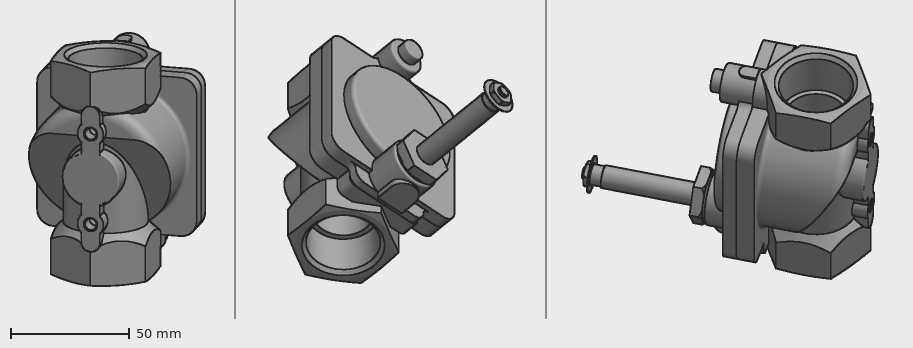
import cadquery as cq
import math


port_half_length = 48.0
port_flats = 41.6
port_face_radius = 20.3
port_face_drop = 0.9
neck_radius = 18.0
neck_end = 25.5
through_bore_radius = 13.0
thread_mouth_radius = 15.8
thread_root_radius = 15.2
thread_depth = 20.0
thread_chamfer = 1.8

bowl_radius = 30.7
bowl_bottom = -19.5
bowl_edge_radius = 5.3
bowl_root_radius = 1.9
slope_angle = 60.0
slope_top = 17.5

pad_face = -24.1
pad_disc_root = -12.6
pad_bar_root = -15.5
pad_disc_radius = 12.5
pad_disc_fillet = 0.8
pad_bar_width = 8.1
pad_bar_length = 64.3
pad_boss_radius = 5.7
pad_hole_pitch = 40.0
pad_hole_diameter = 5.0
pad_hole_depth = 7.5
pad_hole_chamfer = 0.5
drill_point_angle = 118.0

flange_size = 70.0
flange_corner = 7.0
flange_bottom = 17.8
joint = 25.5
flange_top = 31.5

cover_disc_radius = flange_size / 2 - flange_corner
cover_disc_top = 37.5
cover_disc_fillet = 1.9

pilot_z = 37.8
pilot_diameter = 17.0
pilot_radius = pilot_diameter / 2
pilot_top = 40.2
pilot_fillet = 1.0
pilot_web_half_width = 12.0
pilot_web_height = 1.9
plug_diameter = 10.0
plug_top = 45.1
plug_fillet = 0.8
pilot_tab_width = 5.9
pilot_tab_tip = 33.6
pilot_tab_face = 46.9

lug_half_width = 19.3
lug_bottom = -43.0
lug_corner = 3.3
cover_lug_bottom = -43.1
cover_lug_top = 29.4
cover_lug_fillet = 2.6

solenoid_z = -33.5
seat_radius = 12.0
seat_top = 46.0
seat_fillet = 1.1
seat_tab_half_width = 6.8
seat_tab_tip = 44.5
seat_tab_face = -46.9
gland_neck_diameter = 21.0
gland_bottom = 47.0
gland_top = 52.0
gland_flats = 22.0
gland_chamfer = 1.1
tube_diameter = 10.0
tube_top = 93.0
tube_end_diameter = 9.0
washer_diameter = 16.0
washer_bottom = 97.9
washer_top = 98.3
nut_top = 100.7
nut_flats = 10.0
nut_chamfer = 0.5
stud_diameter = 5.0
stud_top = 101.9
stud_chamfer = 0.3


def sketch_at(y, z=0):
    """Sketch plane facing -Y, so sketch coordinates are X and Z."""
    return cq.Workplane("XZ", origin=(0, y, z))


def cylinder(radius, y_start, y_end, z=0):
    """Cylinder parallel to the Y axis."""
    return sketch_at(y_start, z).circle(radius).extrude(y_start - y_end)


def rounded_boss(radius, y_start, y_end, fillet, z=0):
    """Cylinder parallel to the Y axis with its +Y rim rounded."""
    return cylinder(radius, y_start, y_end, z).faces(">Y").edges().fillet(fillet)


def hex_corner(flats):
    """Distance from the axis of a hexagon to its corners."""
    return flats / math.sqrt(3)


def hexagon(flats, length, start_radius, start_drop, end_radius=None, end_drop=0):
    """Hexagon along +Z with corners on the X axis; a cone trims its start, and its end if end_drop is set."""
    corner = hex_corner(flats)
    prism = cq.Workplane("XY").polygon(6, 2 * corner).extrude(length)
    profile = [(0, 0), (start_radius, 0), (corner, start_drop), (corner, length - end_drop)]
    if end_drop:
        profile.append((end_radius, length))
    profile.append((0, length))
    turned = cq.Workplane("XZ").polyline(profile).close().revolve(360, (0, 0, 0), (0, 1, 0))
    return prism.intersect(turned)


def turn_z_to_y(shape):
    return shape.rotate((0, 0, 0), (1, 0, 0), -90)


def flange(y_start, y_end):
    plate = sketch_at(y_start).rect(flange_size, flange_size).extrude(y_start - y_end)
    return plate.edges("|Y").fillet(flange_corner)


def lug(bottom, corner, y_start, y_end):
    """Rounded tongue hanging from the lower edge of a flange."""
    height = solenoid_z - bottom
    block = (
        sketch_at(y_start, z=solenoid_z - height / 2)
        .rect(2 * lug_half_width, height)
        .extrude(y_start - y_end)
    )
    return block.edges("|Y and <Z").fillet(corner)


def raised_tab(half_width, y_start, y_tip, z_start, z_face):
    """Flat tab along Y with a half-round tip, standing on the side of a boss."""
    y_centre = y_tip - half_width
    return (
        cq.Workplane("XY", origin=(0, 0, z_start))
        .moveTo(-half_width, y_start)
        .lineTo(half_width, y_start)
        .lineTo(half_width, y_centre)
        .threePointArc((0, y_tip), (-half_width, y_centre))
        .close()
        .extrude(z_face - z_start)
    )



def make_bowl():
    """Round bowl with its slanted side cut away, below the flange."""
    bowl = cylinder(bowl_radius, bowl_bottom, flange_bottom).faces("<Y").edges().fillet(bowl_edge_radius)
    reach = 2 * bowl_radius
    run = reach / math.tan(math.radians(slope_angle))
    wedge = (
        cq.Workplane("YZ", origin=(-reach, 0, 0))
        .moveTo(bowl_bottom, slope_top)
        .lineTo(bowl_bottom + run, slope_top - reach)
        .lineTo(bowl_bottom - run, slope_top - reach)
        .lineTo(bowl_bottom - run, slope_top + reach)
        .close()
        .extrude(2 * reach)
    )
    return bowl.cut(wedge)


def make_bowl_root():
    """Hollow-curved ring where the bowl meets the flange."""
    outer = bowl_radius + bowl_root_radius
    start = flange_bottom - bowl_root_radius
    bend = bowl_root_radius * math.sqrt(0.5)
    return (
        cq.Workplane("XY")
        .moveTo(0, start)
        .lineTo(bowl_radius, start)
        .threePointArc((outer - bend, start + bend), (outer, flange_bottom))
        .lineTo(0, flange_bottom)
        .close()
        .revolve(360, (0, 0, 0), (0, 1, 0))
    )


def make_port():
    """Upper hexagonal port with the cone that narrows to the neck."""
    port = hexagon(
        port_flats,
        port_half_length - neck_end,
        neck_radius,
        hex_corner(port_flats) - neck_radius,
        port_face_radius,
        port_face_drop,
    )
    return port.rotate((0, 0, 0), (0, 0, 1), 90).translate((0, 0, neck_end))


def make_port_thread():
    """Tapered bore of the upper port with its chamfered mouth."""
    floor = port_half_length - thread_depth
    return (
        cq.Workplane("XZ")
        .moveTo(0, floor)
        .lineTo(thread_root_radius, floor)
        .lineTo(thread_mouth_radius, port_half_length - thread_chamfer)
        .lineTo(thread_mouth_radius + thread_chamfer, port_half_length)
        .lineTo(0, port_half_length)
        .close()
        .revolve(360, (0, 0, 0), (0, 1, 0))
    )


def make_pad():
    disc = cylinder(pad_disc_radius, pad_face, pad_disc_root).faces("<Y").edges().fillet(pad_disc_fillet)
    bar = sketch_at(pad_face).slot2D(pad_bar_length, pad_bar_width, 90).extrude(pad_face - pad_bar_root)
    pad = disc.union(bar)
    for side in (-1, 1):
        pad = pad.union(cylinder(pad_boss_radius, pad_face, pad_bar_root, z=side * pad_hole_pitch / 2))
    return pad


def make_pad_hole():
    """Blind hole with a chamfered mouth and a drill point, turned about the Y axis."""
    radius = pad_hole_diameter / 2
    floor = pad_face + pad_hole_depth
    point = radius / math.tan(math.radians(drill_point_angle / 2))
    return (
        cq.Workplane("XY")
        .moveTo(0, pad_face)
        .lineTo(radius + pad_hole_chamfer, pad_face)
        .lineTo(radius, pad_face + pad_hole_chamfer)
        .lineTo(radius, floor)
        .lineTo(0, floor + point)
        .close()
        .revolve(360, (0, 0, 0), (0, 1, 0))
    )


def make_housing_pilot():
    """Lower part of the pilot boss: a half round on straight sides, running into the port."""
    height = pilot_z - neck_end
    sides = (
        sketch_at(flange_bottom, z=neck_end + height / 2)
        .rect(2 * pilot_radius, height)
        .extrude(flange_bottom - joint)
    )
    return sides.union(cylinder(pilot_radius, flange_bottom, joint, z=pilot_z))


def make_housing():
    solid = make_bowl().union(make_bowl_root()).union(flange(flange_bottom, joint))
    neck = cq.Workplane("XY").circle(neck_radius).extrude(neck_end, both=True)
    solid = solid.union(neck)
    port = make_port()
    solid = solid.union(port).union(port.mirror("XY"))
    solid = solid.union(make_pad()).union(make_housing_pilot())
    solid = solid.union(lug(lug_bottom, lug_corner, flange_bottom, joint))

    thread = make_port_thread()
    solid = solid.cut(thread).cut(thread.mirror("XY"))
    bore = cq.Workplane("XY").circle(through_bore_radius).extrude(port_half_length, both=True)
    solid = solid.cut(bore)
    for side in (-1, 1):
        solid = solid.cut(make_pad_hole().translate((0, 0, side * pad_hole_pitch / 2)))
    return solid



def make_pilot_web():
    """Hollow-curved webs that lead from the flange edge into both sides of the pilot boss."""
    edge = flange_size / 2
    top = edge + pilot_web_height
    boss_half_width = math.sqrt(pilot_radius**2 - (pilot_z - top) ** 2)
    run = pilot_web_half_width - boss_half_width
    curve_radius = (run**2 + pilot_web_height**2) / (2 * pilot_web_height)
    half_turn = math.asin(run / curve_radius) / 2
    mid_x = pilot_web_half_width - curve_radius * math.sin(half_turn)
    mid_z = edge + curve_radius * (1 - math.cos(half_turn))
    return (
        sketch_at(joint)
        .moveTo(-pilot_web_half_width, edge)
        .threePointArc((-mid_x, mid_z), (-boss_half_width, top))
        .lineTo(boss_half_width, top)
        .threePointArc((mid_x, mid_z), (pilot_web_half_width, edge))
        .close()
        .extrude(joint - flange_top)
    )


def make_cover_pilot():
    boss = rounded_boss(pilot_radius, joint, pilot_top, pilot_fillet, z=pilot_z)
    plug = rounded_boss(plug_diameter / 2, pilot_top, plug_top, plug_fillet, z=pilot_z)
    tab = raised_tab(pilot_tab_width / 2, joint, pilot_tab_tip, pilot_z, pilot_tab_face)
    return boss.union(plug).union(tab).union(make_pilot_web())


def make_cover_lug():
    """Lug whose sides blend into the flange edge through hollow curves."""
    edge = -flange_size / 2
    blend_end = edge - cover_lug_fillet
    bend = cover_lug_fillet * math.sqrt(0.5)
    solid = lug(cover_lug_bottom, blend_end - cover_lug_bottom, joint, cover_lug_top)
    blend_x = lug_half_width + cover_lug_fillet
    blend = (
        sketch_at(joint)
        .moveTo(-blend_x, edge)
        .threePointArc((-blend_x + bend, blend_end + bend), (-lug_half_width, blend_end))
        .lineTo(lug_half_width, blend_end)
        .threePointArc((blend_x - bend, blend_end + bend), (blend_x, edge))
        .close()
        .extrude(joint - cover_lug_top)
    )
    return solid.union(blend)


def make_solenoid_seat():
    seat = rounded_boss(seat_radius, cover_lug_top, seat_top, seat_fillet, z=solenoid_z)
    tab = raised_tab(seat_tab_half_width, cover_lug_top, seat_tab_tip, solenoid_z, seat_tab_face)
    return seat.union(tab)


def make_armature_tube():
    """Gland nut, stepped tube, washer and end nut, all on the solenoid axis."""
    tube = cylinder(gland_neck_diameter / 2, seat_top, gland_bottom)
    gland_corner = hex_corner(gland_flats)
    gland = hexagon(gland_flats, gland_top - gland_bottom, gland_corner - gland_chamfer, gland_chamfer)
    tube = tube.union(turn_z_to_y(gland).translate((0, gland_bottom, 0)))
    tube = tube.union(cylinder(tube_diameter / 2, gland_top, tube_top))
    tube = tube.union(cylinder(tube_end_diameter / 2, tube_top, washer_bottom))
    tube = tube.union(cylinder(washer_diameter / 2, washer_bottom, washer_top))
    nut_face_radius = hex_corner(nut_flats) - nut_chamfer
    nut = hexagon(
        nut_flats,
        nut_top - washer_top,
        nut_face_radius,
        nut_chamfer,
        nut_face_radius,
        nut_chamfer,
    ).rotate((0, 0, 0), (0, 0, 1), 90)
    tube = tube.union(turn_z_to_y(nut).translate((0, washer_top, 0)))
    stud = cylinder(stud_diameter / 2, nut_top, stud_top).faces(">Y").edges().chamfer(stud_chamfer)
    return tube.union(stud).translate((0, 0, solenoid_z))


def make_cover():
    disc = rounded_boss(cover_disc_radius, flange_top, cover_disc_top, cover_disc_fillet)
    solid = flange(joint, flange_top).union(disc)
    solid = solid.union(make_cover_pilot())
    solid = solid.union(make_cover_lug())
    solid = solid.union(make_solenoid_seat())
    return solid.union(make_armature_tube())


housing = make_housing()
cover = make_cover()

result = cq.Compound.makeCompound([housing.val(), cover.val()])